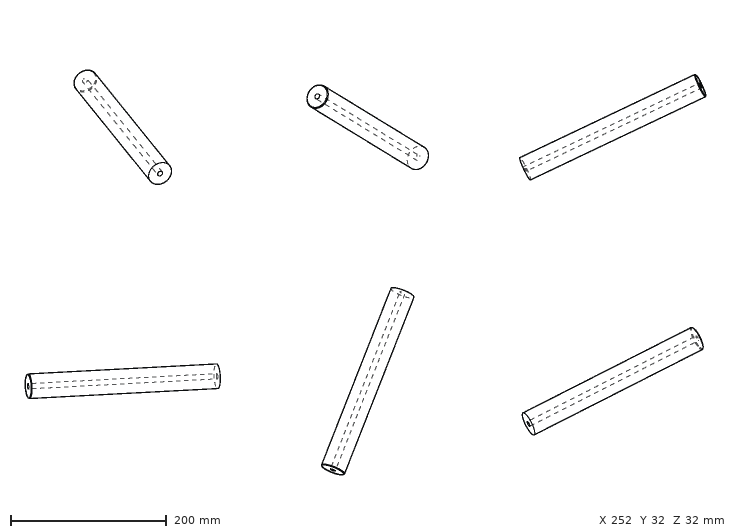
import cadquery as cq

length = 252.0
diameter = 32.0
bore_diameter = 6.8
chamfer = 1.0

bar = cq.Workplane("YZ").circle(diameter / 2).extrude(length / 2, both=True)

bar = bar.faces("<X").chamfer(chamfer)

bore = cq.Workplane("YZ").circle(bore_diameter / 2).extrude(length / 2, both=True)

result = bar.cut(bore)